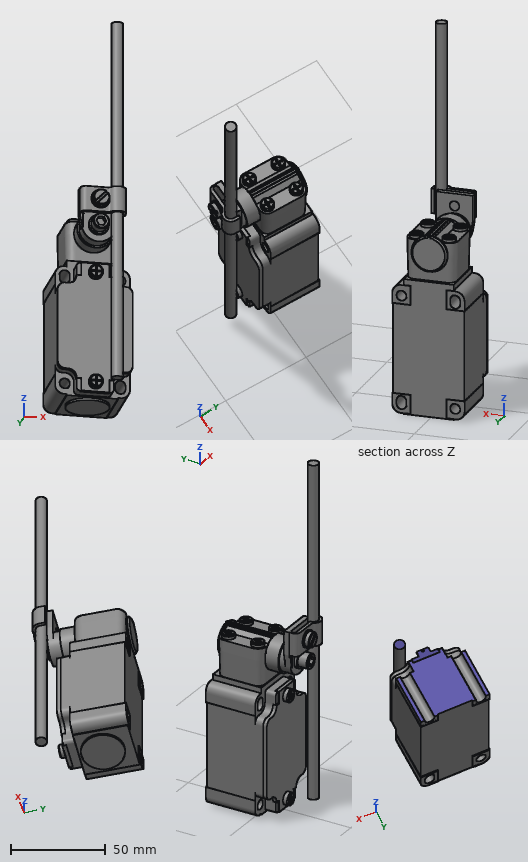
import cadquery as cq
import math


HOUSING_WIDTH = 40.5
MID_Z = 37.8
LUG_HEIGHT = 72.0
LUG_RADIUS = 5.0
BACK_RECESS = 0.6
HOUSING_DEPTH = 30.5
PAD_HEIGHT = 10.7
SIDE_DRAFT = 0.3
NECK_WIDTH = 27.8
NECK_BOTTOM = 1.2
NECK_TOP = 77.1
GLAND_RADIUS = 11.7
GLAND_DEPTH = 17.3

HOLE_X = 15.0
HOLE_Z = 30.0
HOLE_DIAMETER = 5.5
SLOT_LENGTH = 7.5

RIM_DEPTH = 35.4
LID_DEPTH = 37.6
TAB_DEPTH = 37.0
TAB_WIDTH = 2.5
LUG_CLEARANCE_X = 10.0
LUG_CLEARANCE_Z = 29.0
LUG_CLEARANCE_RADIUS = 5.0
SHOULDER_RADIUS = 3.7
END_RADIUS = 2.0

PAN_RADIUS = 3.7
PAN_CHAMFER = 0.6
RECESS_LENGTH = 4.3
RECESS_WIDTH = 0.8
RECESS_DEPTH = 1.2
LID_SCREW_Z = 30.9
LID_SCREW_HEIGHT = 3.0

AXIS_Z = 92.5
HEAD_WIDTH = 28.0
HEAD_BACK = 2.5
HEAD_TOP = 99.4
HEAD_RADIUS = 5.0
HEAD_DRAFT_ANGLE = 1.5
HEAD_SCREW_X = 9.0
HEAD_SCREW_DEPTHS = (7.5, 25.5)
HEAD_SCREW_HEIGHT = 2.3
BOSS_RADIUS = 10.0
BOSS_DEPTH = 38.5
CAP_CHAMFER = 1.0
RIDGE_BASE = 5.3
RIDGE_CREST = 2.3
RIDGE_RIB = 0.8
RIDGE_TOP = 101.6
RIB_RADIUS = 9.9

HUB_RADIUS = 9.0
ARM_HALF_WIDTH = 10.3
ARM_BACK = 42.2
ARM_FRONT = 45.5
ARM_TOP = 112.5
STRAP_BOTTOM = 98.7
STRAP_GAP = 2.9
STRAP_THICKNESS = 2.0
STRAP_FRONT = ARM_FRONT + STRAP_GAP + STRAP_THICKNESS
BEND_RADIUS = 2.9
BEND_WALL = 0.8
STRAP_INSET = 0.2
WRAP_THICKNESS = 1.6
WRAP_FILLET = 2.0
EDGE_LIP_WIDTH = 1.9
EDGE_LIP_HEIGHT = 0.6

ROD_RADIUS = 3.0
ROD_X = 9.5
ROD_DEPTH = ARM_FRONT + ROD_RADIUS
ROD_BOTTOM = 6.2
ROD_TOP = 205.7

CLAMP_SCREW_Z = (ARM_TOP + STRAP_BOTTOM) / 2
CLAMP_HEAD_RADIUS = 4.3
CLAMP_FLANGE_RADIUS = 5.0
CLAMP_FLANGE_THICKNESS = 0.8
CLAMP_SHANK_RADIUS = 2.7
CLAMP_FRONT = 54.0
CLAMP_CHAMFER = 0.5
CLAMP_SLOT_WIDTH = 1.5
CLAMP_SLOT_DEPTH = 1.2
CLAMP_SLOT_ANGLE = 45
WASHER_RADIUS = 5.3
WASHER_FRONT = 47.1
SHAFT_HEAD_RADIUS = 4.3
SHAFT_HEAD_FRONT = 52.9
SHAFT_SHANK_RADIUS = 2.3
SHAFT_CHAMFER = 0.5
SOCKET_ACROSS_CORNERS = 5.3
SOCKET_DEPTH = 2.9


def front_plane(depth):
    """Plane facing -Y at a depth, with local axes X and Z."""
    return cq.Workplane("XZ", origin=(0, -depth, 0))


def block(x0, x1, depth0, depth1, z0, z1):
    """Box between two X positions, two depths and two heights."""
    return cq.Workplane().box(x1 - x0, depth1 - depth0, z1 - z0, centered=False).translate((x0, -depth1, z0))


def front_disc(radius, depth0, depth1, z, x=0):
    """Cylinder along Y."""
    return front_plane(depth0).center(x, z).circle(radius).extrude(depth1 - depth0)


def pan_screw_head(height):
    """Chamfered head standing on Z = 0, with a cross recess in its top."""
    head = cq.Workplane().circle(PAN_RADIUS).extrude(height).faces(">Z").chamfer(PAN_CHAMFER)
    for length, width in ((RECESS_LENGTH, RECESS_WIDTH), (RECESS_WIDTH, RECESS_LENGTH)):
        arm = cq.Workplane(origin=(0, 0, height - RECESS_DEPTH)).rect(length, width).extrude(RECESS_DEPTH)
        head = head.cut(arm)
    return head


def lid_quarter(depth):
    """Upper +X quarter of the outline shared by the lid and its rim, waisted to clear the lug."""
    side = HOUSING_WIDTH / 2
    waist = LUG_CLEARANCE_X
    end = LUG_HEIGHT / 2
    corner = end - END_RADIUS
    cove_x = waist + LUG_CLEARANCE_RADIUS
    ledge = LUG_CLEARANCE_Z - LUG_CLEARANCE_RADIUS
    shoulder_x = side - SHOULDER_RADIUS
    shoulder_z = ledge - SHOULDER_RADIUS
    diagonal = math.sqrt(0.5)
    cove_mid = (cove_x - LUG_CLEARANCE_RADIUS * diagonal, LUG_CLEARANCE_Z - LUG_CLEARANCE_RADIUS * diagonal)
    shoulder_mid = (shoulder_x + SHOULDER_RADIUS * diagonal, shoulder_z + SHOULDER_RADIUS * diagonal)
    end_mid = (waist - END_RADIUS * (1 - diagonal), corner + END_RADIUS * diagonal)
    return (
        front_plane(depth).center(0, MID_Z)
        .lineTo(side, 0)
        .lineTo(side, shoulder_z)
        .threePointArc(shoulder_mid, (shoulder_x, ledge))
        .lineTo(cove_x, ledge)
        .threePointArc(cove_mid, (waist, LUG_CLEARANCE_Z))
        .lineTo(waist, corner)
        .threePointArc(end_mid, (waist - END_RADIUS, end))
        .lineTo(0, end)
        .close()
    )


def lid_slab(depth0, depth1):
    """Slab with the whole lid outline, mirrored from one quarter."""
    quarter = lid_quarter(depth0).extrude(depth1 - depth0)
    half = quarter.union(quarter.mirror("YZ"))
    return half.union(half.mirror("XY", (0, 0, MID_Z))).clean()


def corner_tabs(depth0, depth1):
    """The four corners of the lid outline, where housing tabs take the place of the lid."""
    slab = lid_slab(depth0, depth1)
    inner = LUG_CLEARANCE_X - TAB_WIDTH
    tall = block(-inner, inner, depth0, depth1, 0, NECK_TOP)
    wide = block(
        -HOUSING_WIDTH, HOUSING_WIDTH, depth0, depth1,
        MID_Z - LUG_CLEARANCE_Z, MID_Z + LUG_CLEARANCE_Z,
    )
    return slab.cut(tall).cut(wide)


def make_housing():
    lug_bottom = MID_Z - LUG_HEIGHT / 2
    lug_top = MID_Z + LUG_HEIGHT / 2
    side = HOUSING_WIDTH / 2

    lugs = block(-side, side, 0, HOUSING_DEPTH, lug_bottom, lug_top).edges("|Y").fillet(LUG_RADIUS)
    pad_edges = (lug_bottom + PAD_HEIGHT, lug_top - PAD_HEIGHT)
    lugs = lugs.cut(block(-side, side, 0, BACK_RECESS, *pad_edges))
    lugs = lugs.cut(block(-LUG_CLEARANCE_X, LUG_CLEARANCE_X, 0, BACK_RECESS, 0, NECK_TOP))

    wedge = (
        cq.Workplane(origin=(0, 0, pad_edges[0]))
        .polyline([(-side, -HOUSING_DEPTH), (-side, 0), (SIDE_DRAFT - side, 0)]).close()
        .extrude(pad_edges[1] - pad_edges[0])
    )
    lugs = lugs.cut(wedge).cut(wedge.mirror("YZ"))

    neck = block(-NECK_WIDTH / 2, NECK_WIDTH / 2, BACK_RECESS, HOUSING_DEPTH, NECK_BOTTOM, NECK_TOP)
    gland = cq.Workplane(origin=(0, -GLAND_DEPTH, 0)).circle(GLAND_RADIUS).extrude(NECK_BOTTOM)
    housing = lugs.union(neck).union(gland)

    for sign in (-1, 1):
        round_hole = front_disc(HOLE_DIAMETER / 2, 0, HOUSING_DEPTH, MID_Z + sign * HOLE_Z, sign * HOLE_X)
        slot = (
            front_plane(0).center(-sign * HOLE_X, MID_Z + sign * HOLE_Z)
            .slot2D(SLOT_LENGTH, HOLE_DIAMETER, 90).extrude(HOUSING_DEPTH)
        )
        housing = housing.cut(round_hole).cut(slot)

    housing = housing.union(lid_slab(HOUSING_DEPTH, RIM_DEPTH))
    return housing.union(corner_tabs(RIM_DEPTH, TAB_DEPTH))


def make_lid():
    lid = lid_slab(RIM_DEPTH, LID_DEPTH).cut(corner_tabs(RIM_DEPTH, LID_DEPTH))
    screw = pan_screw_head(LID_SCREW_HEIGHT).rotate((0, 0, 0), (1, 0, 0), 90)
    for sign in (-1, 1):
        lid = lid.union(screw.translate((0, -LID_DEPTH, MID_Z + sign * LID_SCREW_Z)))
    return lid


def make_head():
    head_depth = HOUSING_DEPTH - HEAD_BACK
    section = (
        cq.Sketch().rect(HEAD_WIDTH, head_depth).vertices().fillet(HEAD_RADIUS)
        .moved(cq.Location(cq.Vector(0, -(HEAD_BACK + HOUSING_DEPTH) / 2, 0)))
    )
    seam = cq.Workplane(origin=(0, 0, AXIS_Z))
    upper = seam.placeSketch(section).extrude(HEAD_TOP - AXIS_Z)
    lower = seam.placeSketch(section).extrude(NECK_TOP - AXIS_Z, taper=HEAD_DRAFT_ANGLE)

    rib_side_z = AXIS_Z + math.sqrt(RIB_RADIUS**2 - RIDGE_RIB**2)
    ridge = (
        front_plane(BACK_RECESS)
        .polyline([
            (-RIDGE_BASE, AXIS_Z), (-RIDGE_BASE, HEAD_TOP), (-RIDGE_CREST, RIDGE_TOP),
            (-RIDGE_RIB, RIDGE_TOP), (-RIDGE_RIB, rib_side_z),
        ])
        .threePointArc((0, AXIS_Z + RIB_RADIUS), (RIDGE_RIB, rib_side_z))
        .lineTo(RIDGE_RIB, RIDGE_TOP)
        .lineTo(RIDGE_CREST, RIDGE_TOP)
        .lineTo(RIDGE_BASE, HEAD_TOP)
        .lineTo(RIDGE_BASE, AXIS_Z)
        .close()
        .extrude(HOUSING_DEPTH - BACK_RECESS)
    )
    cap = front_disc(BOSS_RADIUS, BACK_RECESS, HEAD_BACK, AXIS_Z).faces(">Y").chamfer(CAP_CHAMFER)
    boss = front_disc(BOSS_RADIUS, HOUSING_DEPTH, BOSS_DEPTH, AXIS_Z)
    head = upper.union(lower).union(ridge).union(cap).union(boss)

    screw = pan_screw_head(HEAD_SCREW_HEIGHT)
    for x in (-HEAD_SCREW_X, HEAD_SCREW_X):
        for depth in HEAD_SCREW_DEPTHS:
            head = head.union(screw.translate((x, -depth, HEAD_TOP)))
    return head


def make_rod():
    bottom = cq.Workplane(origin=(ROD_X, -ROD_DEPTH, ROD_BOTTOM))
    return bottom.circle(ROD_RADIUS).extrude(ROD_TOP - ROD_BOTTOM)


def make_arm_plate():
    """Straight-sided plate whose sides run in to meet the hub circle on tangent lines."""
    drop = STRAP_BOTTOM - AXIS_Z
    reach = math.hypot(ARM_HALF_WIDTH, drop)
    tangent_angle = math.atan2(drop, ARM_HALF_WIDTH) - math.acos(HUB_RADIUS / reach)
    tangent_x = HUB_RADIUS * math.cos(tangent_angle)
    tangent_z = AXIS_Z + HUB_RADIUS * math.sin(tangent_angle)

    def plate(thickness):
        return (
            front_plane(ARM_BACK)
            .moveTo(-ARM_HALF_WIDTH, ARM_TOP)
            .lineTo(-ARM_HALF_WIDTH, STRAP_BOTTOM)
            .lineTo(-tangent_x, tangent_z)
            .threePointArc((0, AXIS_Z - HUB_RADIUS), (tangent_x, tangent_z))
            .lineTo(ARM_HALF_WIDTH, STRAP_BOTTOM)
            .lineTo(ARM_HALF_WIDTH, ARM_TOP)
            .close()
            .extrude(thickness)
        )

    thickness = ARM_FRONT - ARM_BACK
    lip_region = block(
        STRAP_INSET - ARM_HALF_WIDTH, EDGE_LIP_WIDTH - ARM_HALF_WIDTH,
        ARM_FRONT, ARM_FRONT + EDGE_LIP_HEIGHT, tangent_z, STRAP_BOTTOM,
    )
    lip = plate(thickness + EDGE_LIP_HEIGHT).intersect(lip_region)
    return plate(thickness).union(lip)


def make_strap():
    """Strap bent forward from the plate's -X edge, back across its front and round the rod."""
    wrap_radius = ROD_RADIUS + WRAP_THICKNESS
    gap_radius = STRAP_GAP / 2
    strap_edge = STRAP_INSET - ARM_HALF_WIDTH
    gap_end = strap_edge + BEND_WALL

    strap = block(strap_edge, ROD_X, ARM_FRONT, STRAP_FRONT, STRAP_BOTTOM, ARM_TOP)
    strap = strap.edges("|Z and <X and <Y").fillet(BEND_RADIUS)
    gap = block(gap_end + gap_radius, ROD_X, ARM_FRONT, ARM_FRONT + STRAP_GAP, STRAP_BOTTOM, ARM_TOP)
    gap_round = (
        cq.Workplane(origin=(gap_end + gap_radius, -ARM_FRONT - gap_radius, STRAP_BOTTOM))
        .circle(gap_radius).extrude(ARM_TOP - STRAP_BOTTOM)
    )
    strap = strap.cut(gap).cut(gap_round)

    rod_centre = cq.Workplane(origin=(ROD_X, -ROD_DEPTH, STRAP_BOTTOM))
    front_half = block(
        ROD_X - wrap_radius, ROD_X + wrap_radius, ROD_DEPTH, ROD_DEPTH + wrap_radius, STRAP_BOTTOM, ARM_TOP
    )
    wrap = rod_centre.circle(wrap_radius).extrude(ARM_TOP - STRAP_BOTTOM).intersect(front_half)
    lip = block(
        ROD_X + ROD_RADIUS, ROD_X + wrap_radius, ARM_FRONT, ROD_DEPTH, STRAP_BOTTOM, ARM_TOP
    )
    strap = strap.union(wrap).union(lip)

    rise = STRAP_FRONT - ROD_DEPTH
    corner_x = ROD_X - math.sqrt(wrap_radius**2 - rise**2)
    corner = cq.selectors.NearestToPointSelector((corner_x, -STRAP_FRONT, CLAMP_SCREW_Z))
    return strap.edges(corner).fillet(WRAP_FILLET)


def clamp_flange():
    return front_disc(CLAMP_FLANGE_RADIUS, STRAP_FRONT, STRAP_FRONT + CLAMP_FLANGE_THICKNESS, CLAMP_SCREW_Z)


def make_clamp_screw():
    """Slotted, flanged screw through the strap and into the plate."""
    head = front_disc(CLAMP_HEAD_RADIUS, STRAP_FRONT, CLAMP_FRONT, CLAMP_SCREW_Z)
    head = head.faces("<Y").chamfer(CLAMP_CHAMFER)
    shank = front_disc(CLAMP_SHANK_RADIUS, ARM_BACK, STRAP_FRONT, CLAMP_SCREW_Z)
    slot = (
        front_plane(CLAMP_FRONT - CLAMP_SLOT_DEPTH).center(0, CLAMP_SCREW_Z)
        .transformed(rotate=(0, 0, CLAMP_SLOT_ANGLE))
        .rect(3 * CLAMP_HEAD_RADIUS, CLAMP_SLOT_WIDTH).extrude(CLAMP_SLOT_DEPTH)
    )
    return head.cut(slot).union(clamp_flange()).union(shank)


def make_shaft_screw():
    """Socket screw on the shaft axis, through the washer and into the hub."""
    head = front_disc(SHAFT_HEAD_RADIUS, WASHER_FRONT, SHAFT_HEAD_FRONT, AXIS_Z)
    head = head.faces("<Y").chamfer(SHAFT_CHAMFER)
    socket = (
        front_plane(SHAFT_HEAD_FRONT - SOCKET_DEPTH).center(0, AXIS_Z)
        .polygon(6, SOCKET_ACROSS_CORNERS).extrude(SOCKET_DEPTH)
    )
    shank = front_disc(SHAFT_SHANK_RADIUS, BOSS_DEPTH, WASHER_FRONT, AXIS_Z)
    return head.cut(socket).union(shank)


def make_washer():
    washer = front_disc(WASHER_RADIUS, ARM_FRONT, WASHER_FRONT, AXIS_Z)
    return washer.cut(front_disc(SHAFT_SHANK_RADIUS, ARM_FRONT, WASHER_FRONT, AXIS_Z))


def make_arm():
    hub = front_disc(HUB_RADIUS, BOSS_DEPTH, ARM_BACK, AXIS_Z)
    arm = make_arm_plate().union(hub).union(make_strap())
    arm = arm.cut(front_disc(CLAMP_SHANK_RADIUS, ARM_BACK, STRAP_FRONT, CLAMP_SCREW_Z))
    arm = arm.cut(front_disc(SHAFT_SHANK_RADIUS, BOSS_DEPTH, ARM_FRONT, AXIS_Z))
    arm = arm.cut(clamp_flange())
    return arm.cut(make_rod())


housing = make_housing()
lid = make_lid()
head = make_head()
arm = make_arm()
rod = make_rod()
clamp_screw = make_clamp_screw()
shaft_screw = make_shaft_screw()
washer = make_washer()

result = cq.Compound.makeCompound([
    housing.val(),
    lid.val(),
    head.val(),
    arm.val(),
    rod.val(),
    clamp_screw.val(),
    shaft_screw.val(),
    washer.val(),
])